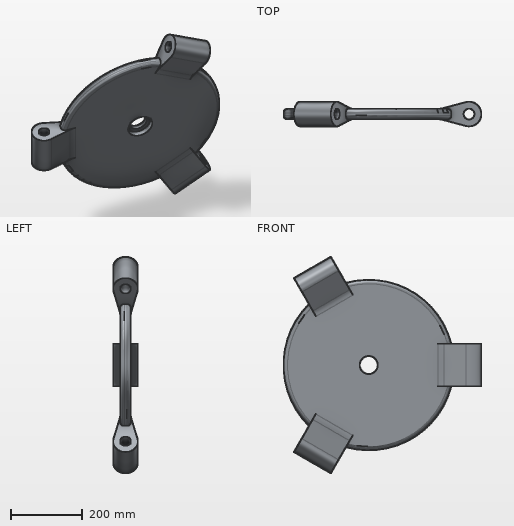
import cadquery as cq
import math

overall_height = 608.5
disc_radius = 240.0
disc_thickness = 30.0
rim_fillet = 11.0
center_hole_diameter = 50.0
counterbore_diameter = 72.0
counterbore_depth = 16.5

lug_count = 3
lug_width = 120.0
lug_eye_diameter = 70.0
lug_hole_diameter = 30.0
lug_taper_angle = 15.0
root_fillet_radius = 67.0

lug_angle = math.radians(60)
lug_tip = (overall_height / 2 - lug_width / 2 * math.cos(lug_angle)) / math.sin(lug_angle)
eye_radius = lug_eye_diameter / 2
eye_center = lug_tip - eye_radius


def make_disc():
    """Round plate centered on the Y axis, with a rounded rim."""
    disc = cq.Workplane("XZ").circle(disc_radius).extrude(disc_thickness / 2, both=True)
    return disc.edges().fillet(rim_fillet)


def make_lug():
    """Hinge lug on the +X side: a round eye tapering into the disc faces."""
    taper = math.radians(lug_taper_angle)
    half_disc = disc_thickness / 2
    tangent_x = eye_center - eye_radius * math.sin(taper)
    tangent_y = eye_radius * math.cos(taper)

    corner_x = tangent_x - (tangent_y - half_disc) / math.tan(taper)
    blend_length = root_fillet_radius * math.tan(taper / 2)
    root_x = corner_x - blend_length
    flank_x = corner_x + blend_length * math.cos(taper)
    flank_y = half_disc + blend_length * math.sin(taper)
    arc_x = root_x + root_fillet_radius * math.sin(taper / 2)
    arc_y = half_disc + root_fillet_radius * (1 - math.cos(taper / 2))

    profile = (
        cq.Workplane("XY")
        .moveTo(root_x, half_disc)
        .threePointArc((arc_x, arc_y), (flank_x, flank_y))
        .lineTo(tangent_x, tangent_y)
        .threePointArc((lug_tip, 0), (tangent_x, -tangent_y))
        .lineTo(flank_x, -flank_y)
        .threePointArc((arc_x, -arc_y), (root_x, -half_disc))
        .close()
    )
    return profile.extrude(lug_width / 2, both=True)


def make_lug_hole():
    """Pin hole through the full width of the +X lug."""
    pin = cq.Workplane("XY").center(eye_center, 0).circle(lug_hole_diameter / 2)
    return pin.extrude(lug_width / 2, both=True)


def place_around_disc(shape, index):
    """Turn a +X feature about the disc axis to its place in the ring."""
    return shape.rotate((0, 0, 0), (0, 1, 0), index * 360 / lug_count)


center_hole = cq.Workplane("XZ").circle(center_hole_diameter / 2).extrude(disc_thickness, both=True)

counterbore = (
    cq.Workplane("XZ", origin=(0, disc_thickness / 2, 0))
    .circle(counterbore_diameter / 2)
    .extrude(counterbore_depth)
)

result = make_disc().cut(center_hole).cut(counterbore)
for lug_index in range(lug_count):
    result = result.union(place_around_disc(make_lug(), lug_index))
    result = result.cut(place_around_disc(make_lug_hole(), lug_index))